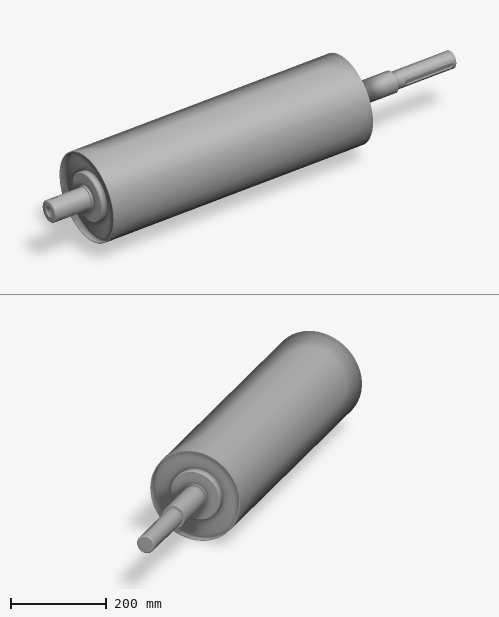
import cadquery as cq
import math

shaft_length = 1010.0
shaft_front = -shaft_length / 2
shaft_back = shaft_length / 2

shell_diameter = 204.0
shell_bore_diameter = 200.0
shell_length = 650.0
front_journal_length = 95.0
shell_front = shaft_front + front_journal_length
shell_back = shell_front + shell_length

plate_recess = 15.0
hub_diameter = 112.0
hub_chamfer = 2.0

journal_diameter = 50.0
collar_diameter = 55.0
collar_projection = 5.0
drive_end_diameter = 40.0
drive_end_length = 150.0
shaft_end_chamfer = 2.0

key_width = 12.0
key_depth = 5.0
key_length = 120.0
key_end_margin = 10.0

mouth_diameter = 25.3
centre_cone_diameter = 23.0
relief_diameter = 17.0
relief_end_depth = 12.0
tap_drill_diameter = 13.84
tap_drill_depth = 45.0
mouth_cone_angle = 120.0
centre_cone_angle = 60.0
drill_point_angle = 120.0


def cone_depth(large_diameter, small_diameter, included_angle):
    """Axial length of a cone between two diameters."""
    return (large_diameter - small_diameter) / 2 / math.tan(math.radians(included_angle / 2))


def cylinder(diameter, y_start, y_end):
    """Solid cylinder on the Y axis between two stations."""
    return cq.Workplane("XZ", origin=(0, y_start, 0)).circle(diameter / 2).extrude(y_start - y_end)


def make_roll():
    """Shell closed by recessed end plates, with a hub standing on each plate."""
    roll = cylinder(shell_diameter, shell_front, shell_back)
    roll = roll.cut(cylinder(shell_bore_diameter, shell_front, shell_front + plate_recess))
    roll = roll.cut(cylinder(shell_bore_diameter, shell_back - plate_recess, shell_back))
    hub = cylinder(hub_diameter, shell_front, shell_back).edges("%CIRCLE").chamfer(hub_chamfer)
    return roll.union(hub)


def make_shaft():
    """Stepped shaft with a collar at each end of the roll."""
    shaft = cylinder(journal_diameter, shaft_front, shaft_back - drive_end_length)
    shaft = shaft.union(cylinder(drive_end_diameter, shaft_back - drive_end_length, shaft_back))
    shaft = shaft.faces("<Y or >Y").edges().chamfer(shaft_end_chamfer)
    collar_front = shell_front - collar_projection
    collar_back = shell_back + collar_projection
    return shaft.union(cylinder(collar_diameter, collar_front, collar_back))


def make_keyway():
    """Slot cutter reaching from the keyway floor out past the drive end surface."""
    floor_x = drive_end_diameter / 2 - key_depth
    middle_y = shaft_back - key_end_margin - key_length / 2
    return (
        cq.Workplane("YZ", origin=(floor_x, middle_y, 0))
        .slot2D(key_length, key_width)
        .extrude(drive_end_diameter / 2)
    )


def make_centre_hole():
    """Protective mouth cone, centre cone, cylindrical relief, tap drill and drill point, revolved about Y."""
    mouth_depth = cone_depth(mouth_diameter, centre_cone_diameter, mouth_cone_angle)
    centre_depth = mouth_depth + cone_depth(centre_cone_diameter, relief_diameter, centre_cone_angle)
    point_depth = cone_depth(tap_drill_diameter, 0, drill_point_angle)
    return (
        cq.Workplane("XY", origin=(0, shaft_front, 0))
        .lineTo(mouth_diameter / 2, 0)
        .lineTo(centre_cone_diameter / 2, mouth_depth)
        .lineTo(relief_diameter / 2, centre_depth)
        .lineTo(relief_diameter / 2, relief_end_depth)
        .lineTo(tap_drill_diameter / 2, relief_end_depth)
        .lineTo(tap_drill_diameter / 2, tap_drill_depth)
        .lineTo(0, tap_drill_depth + point_depth)
        .close()
        .revolve(360, (0, 0, 0), (0, 1, 0))
    )


result = make_roll().union(make_shaft()).cut(make_keyway()).cut(make_centre_hole())